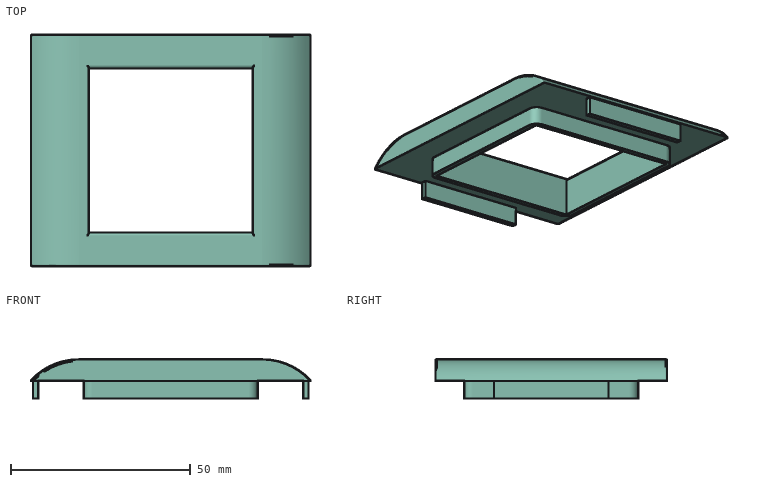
import cadquery as cq
import math

frame_length = 78.0
frame_width = 64.6
total_height = 11.0
skirt_height = 5.0
flat_top_length = 51.0
end_rounding = 0.5

window_size = 45.6
rim_rounding_x = 0.5
rim_rounding_y = 1.0

collar_wall = 1.45
collar_corner_radius = 2.4

tab_thickness = 1.5
tab_width = 31.8
tab_edge_gap = 0.6

frame_height = total_height - skirt_height
half_flat = flat_top_length / 2
curve_run = frame_length / 2 - half_flat
curve_radius = (curve_run**2 + frame_height**2) / (2 * frame_height)
curve_centre_z = total_height - curve_radius
foot_angle = math.radians(80)


def curve_point(side, angle):
    """Point on a side arc; angle is measured from the top tangent, side is -1 or +1."""
    x = side * (half_flat + curve_radius * math.sin(angle))
    z = curve_centre_z + curve_radius * math.cos(angle)
    return x, z


def make_frame():
    """Flat-topped bar with curved sides, rounded at both Y ends and trimmed flat underneath."""
    mid_angle = foot_angle / 2
    left_foot = curve_point(-1, foot_angle)
    bar = (
        cq.Workplane("XZ")
        .moveTo(*left_foot)
        .threePointArc(curve_point(-1, mid_angle), (-half_flat, total_height))
        .lineTo(half_flat, total_height)
        .threePointArc(curve_point(1, mid_angle), curve_point(1, foot_angle))
        .close()
        .extrude(frame_width / 2, both=True)
    )
    bar = bar.faces("<Y or >Y").edges("not <Z").fillet(end_rounding)
    keep = (
        cq.Workplane("XY", origin=(0, 0, skirt_height))
        .rect(frame_length, frame_width)
        .extrude(frame_height)
    )
    return bar.intersect(keep)


def make_collar():
    """Square collar with rounded outer corners."""
    collar_size = window_size + 2 * collar_wall
    return (
        cq.Workplane("XY")
        .rect(collar_size, collar_size)
        .extrude(skirt_height)
        .edges("|Z")
        .fillet(collar_corner_radius)
    )


def make_tab(side):
    """Upright tab under one curved side; side is -1 or +1."""
    tab_x = side * (frame_length / 2 - tab_edge_gap - tab_thickness / 2)
    return cq.Workplane("XY").center(tab_x, 0).rect(tab_thickness, tab_width).extrude(skirt_height)


def make_flared_slot(plane, rounding):
    """Full-height slot with its outline on the given plane, flaring at the top with two convex arcs."""
    half_window = window_size / 2
    half_mouth = half_window + rounding
    flare_start = total_height - rounding
    arc_inset = rounding * math.sqrt(0.5)
    arc_x = half_mouth - arc_inset
    arc_z = flare_start + arc_inset
    return (
        cq.Workplane(plane)
        .moveTo(-half_window, 0)
        .lineTo(half_window, 0)
        .lineTo(half_window, flare_start)
        .threePointArc((arc_x, arc_z), (half_mouth, total_height))
        .lineTo(-half_mouth, total_height)
        .threePointArc((-arc_x, arc_z), (-half_window, flare_start))
        .close()
        .extrude(window_size, both=True)
    )


def make_window():
    """Through opening whose rounded rims meet in mitred corners."""
    return make_flared_slot("XZ", rim_rounding_x).intersect(make_flared_slot("YZ", rim_rounding_y))


result = make_frame().union(make_collar())
for tab_side in (-1, 1):
    result = result.union(make_tab(tab_side))
result = result.cut(make_window())